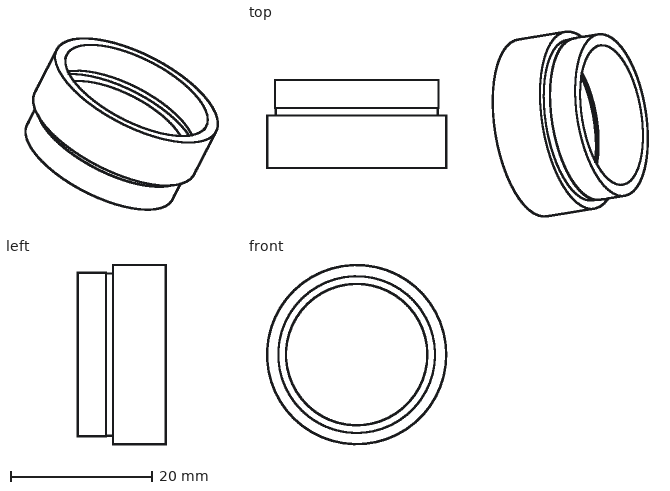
import cadquery as cq

flange_diameter = 25.4
collar_diameter = 23.2
neck_diameter = 23.0
bore_diameter = 20.0
counterbore_diameter = 22.2

flange_length = 7.5
neck_length = 1.02
total_length = 12.5
counterbore_depth = 5.5
undercut_diameter = 23.4
undercut_width = 1.02

collar_start = flange_length + neck_length


def cylinder(diameter, start, end):
    """Solid cylinder along Y between two Y positions."""
    return cq.Workplane("XZ", origin=(0, start, 0)).circle(diameter / 2).extrude(start - end)


body = cylinder(flange_diameter, 0, flange_length)
body = body.union(cylinder(neck_diameter, flange_length, collar_start))
body = body.union(cylinder(collar_diameter, collar_start, total_length))

body = body.cut(cylinder(bore_diameter, 0, total_length))
body = body.cut(cylinder(counterbore_diameter, 0, counterbore_depth))

result = body.cut(cylinder(undercut_diameter, counterbore_depth - undercut_width, counterbore_depth))